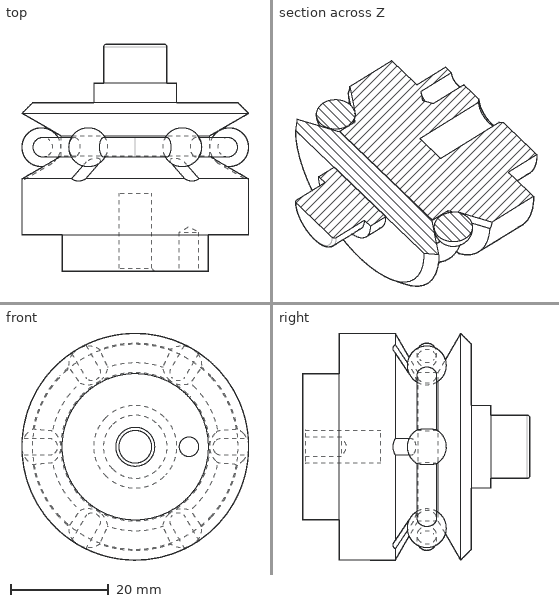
import cadquery as cq
import math

RIM_RADIUS = 23.25

HUB_RADIUS = 15.0
HUB_LENGTH = 7.5
RIM_WIDTH = 11.5

GROOVE_WALL_ANGLE = math.radians(30)
GROOVE_FLOOR_WIDTH = 4.15

BALL_RADIUS = 4.0
BALL_COUNT = 6
CORD_RADIUS = 2.0
CHAIN_RADIUS = RIM_RADIUS - BALL_RADIUS

FLANGE_EDGE_WIDTH = 2.2
FLANGE_BEVEL_DEPTH = 2.2

SHOULDER_RADIUS = 8.5
SHOULDER_LENGTH = 4.0
JOURNAL_RADIUS = 6.5
JOURNAL_LENGTH = 8.0
JOURNAL_END_FILLET = 0.6

CENTRE_HOLE_RADIUS = 3.35
CENTRE_HOLE_MOUTH_RADIUS = 4.0
CENTRE_HOLE_DEPTH = 16.0
DOWEL_HOLE_RADIUS = 2.0
DOWEL_HOLE_OFFSET = 11.0
DOWEL_HOLE_DEPTH = 8.0
DRILL_HALF_ANGLE = math.radians(59)

FLOOR_RADIUS = CHAIN_RADIUS - BALL_RADIUS
WALL_WIDTH = (RIM_RADIUS - FLOOR_RADIUS) * math.tan(GROOVE_WALL_ANGLE)
RIM_Y = HUB_LENGTH + RIM_WIDTH
FLOOR_START_Y = RIM_Y + WALL_WIDTH
FLOOR_END_Y = FLOOR_START_Y + GROOVE_FLOOR_WIDTH
FLANGE_EDGE_Y = FLOOR_END_Y + WALL_WIDTH
FLANGE_BACK_Y = FLANGE_EDGE_Y + FLANGE_EDGE_WIDTH
SHOULDER_END_Y = FLANGE_BACK_Y + SHOULDER_LENGTH
JOURNAL_END_Y = SHOULDER_END_Y + JOURNAL_LENGTH

FLANGE_WALL_Y_AT_CHAIN = FLOOR_END_Y + (CHAIN_RADIUS - FLOOR_RADIUS) * math.tan(GROOVE_WALL_ANGLE)
CHAIN_Y = FLANGE_WALL_Y_AT_CHAIN - BALL_RADIUS / math.cos(GROOVE_WALL_ANGLE)


def turned(points, axis_x=0.0):
    """Revolve a closed (x, y) outline about the line x = axis_x parallel to Y."""
    return cq.Workplane("XY").polyline(points).close().revolve(360, (axis_x, 0), (axis_x, 1))


def around_axis(shape):
    """Yield one copy of the shape for each ball position around the Y axis."""
    for index in range(BALL_COUNT):
        yield shape.rotate((0, 0, 0), (0, 1, 0), index * 360 / BALL_COUNT)


def make_ball():
    return cq.Workplane("XY").sphere(BALL_RADIUS).translate((CHAIN_RADIUS, CHAIN_Y, 0))


def make_socket():
    """Ball seat that runs out along the wheel's groove wall."""
    direction = cq.Vector(math.cos(GROOVE_WALL_ANGLE), -math.sin(GROOVE_WALL_ANGLE), 0)
    centre = cq.Vector(CHAIN_RADIUS, CHAIN_Y, 0)
    length = 2 * (RIM_RADIUS - FLOOR_RADIUS)
    run_out = cq.Solid.makeCylinder(BALL_RADIUS, length, centre, direction)
    return make_ball().union(cq.Workplane(run_out))


def make_centre_hole():
    """Blind hole with a 45 degree countersunk mouth."""
    countersink_depth = CENTRE_HOLE_MOUTH_RADIUS - CENTRE_HOLE_RADIUS
    return turned([
        (0, 0),
        (CENTRE_HOLE_MOUTH_RADIUS, 0),
        (CENTRE_HOLE_RADIUS, countersink_depth),
        (CENTRE_HOLE_RADIUS, CENTRE_HOLE_DEPTH),
        (0, CENTRE_HOLE_DEPTH),
    ])


def make_dowel_hole():
    """Blind off-centre hole with a conical drill point."""
    tip_y = DOWEL_HOLE_DEPTH + DOWEL_HOLE_RADIUS / math.tan(DRILL_HALF_ANGLE)
    wall_x = DOWEL_HOLE_OFFSET + DOWEL_HOLE_RADIUS
    return turned([
        (DOWEL_HOLE_OFFSET, 0),
        (wall_x, 0),
        (wall_x, DOWEL_HOLE_DEPTH),
        (DOWEL_HOLE_OFFSET, tip_y),
    ], DOWEL_HOLE_OFFSET)


def make_wheel():
    wheel = turned([
        (0, 0),
        (HUB_RADIUS, 0),
        (HUB_RADIUS, HUB_LENGTH),
        (RIM_RADIUS, HUB_LENGTH),
        (RIM_RADIUS, RIM_Y),
        (FLOOR_RADIUS, FLOOR_START_Y),
        (FLOOR_RADIUS, FLOOR_END_Y),
        (0, FLOOR_END_Y),
    ])
    for socket in around_axis(make_socket()):
        wheel = wheel.cut(socket)
    return wheel.cut(make_centre_hole()).cut(make_dowel_hole())


def make_flange():
    return turned([
        (0, FLOOR_END_Y),
        (FLOOR_RADIUS, FLOOR_END_Y),
        (RIM_RADIUS, FLANGE_EDGE_Y),
        (RIM_RADIUS - FLANGE_BEVEL_DEPTH, FLANGE_BACK_Y),
        (0, FLANGE_BACK_Y),
    ])


def make_spindle():
    spindle = turned([
        (0, FLANGE_BACK_Y),
        (SHOULDER_RADIUS, FLANGE_BACK_Y),
        (SHOULDER_RADIUS, SHOULDER_END_Y),
        (JOURNAL_RADIUS, SHOULDER_END_Y),
        (JOURNAL_RADIUS, JOURNAL_END_Y),
        (0, JOURNAL_END_Y),
    ])
    return spindle.faces(">Y").edges().fillet(JOURNAL_END_FILLET)


def make_ball_chain():
    """Closed loop of cord with the balls moulded onto it."""
    centre = cq.Vector(0, CHAIN_Y, 0)
    chain = cq.Workplane(cq.Solid.makeTorus(CHAIN_RADIUS, CORD_RADIUS, centre, cq.Vector(0, 1, 0)))
    for ball in around_axis(make_ball()):
        chain = chain.union(ball)
    return chain


wheel = make_wheel()
flange = make_flange()
spindle = make_spindle()
ball_chain = make_ball_chain()

result = cq.Compound.makeCompound([wheel.val(), flange.val(), spindle.val(), ball_chain.val()])